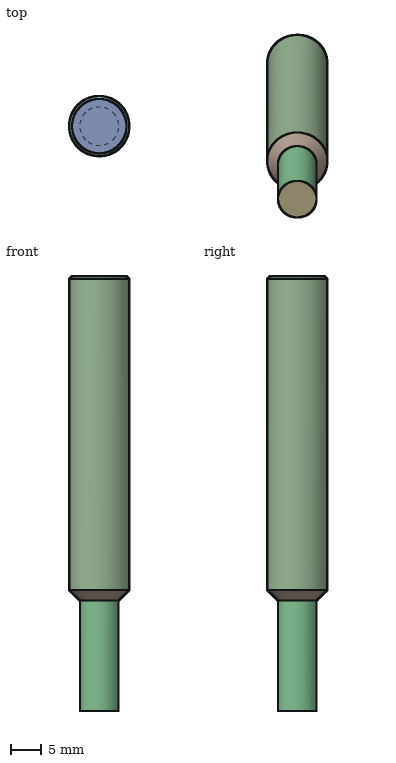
import cadquery as cq

total_length = 72.0
shank_diameter = 10.0
cutter_diameter = 6.4

cutter_length = 18.3
taper_height = 1.7
top_chamfer = 0.5

shank_length = total_length - cutter_length


def make_cutter():
    """Plain cylindrical cutting end below the shank."""
    return cq.Workplane("XY").circle(cutter_diameter / 2).extrude(cutter_length)


def make_shank():
    """Round shank with a chamfered top and a lower end that tapers to the cutter."""
    taper_width = (shank_diameter - cutter_diameter) / 2
    shank = (
        cq.Workplane("XY")
        .workplane(offset=cutter_length)
        .circle(shank_diameter / 2)
        .extrude(shank_length)
    )
    shank = shank.faces(">Z").chamfer(top_chamfer)
    return shank.faces("<Z").chamfer(taper_height, taper_width)


cutter = make_cutter()
shank = make_shank()

result = cq.Compound.makeCompound([shank.val(), cutter.val()])